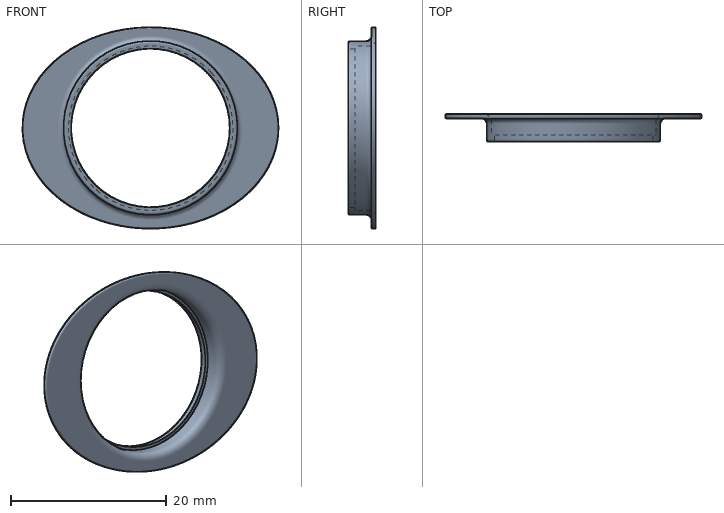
import cadquery as cq

flange_width = 33.0
flange_height = 25.97
flange_thickness = 0.6
flange_edge_radius = 0.2

overall_depth = 3.6
collar_diameter = 22.4
collar_root_radius = 0.65
collar_rim_radius = 0.3

lip_diameter = 20.4
bore_diameter = 21.2
lip_depth = 0.9
bore_mouth_radius = 1.0


def make_flange():
    """Elliptical plate with its front and back edges rounded."""
    plate = (
        cq.Workplane("XZ")
        .ellipse(flange_width / 2, flange_height / 2)
        .extrude(flange_thickness)
    )
    return plate.faces("<Y or >Y").edges().fillet(flange_edge_radius)


def make_collar():
    """Solid round collar with a rounded front rim."""
    collar = cq.Workplane("XZ").circle(collar_diameter / 2).extrude(overall_depth)
    return collar.faces("<Y").edges().fillet(collar_rim_radius)


def make_root_fillet():
    """Concave ring blending the collar into the flange's front face."""
    collar_radius = collar_diameter / 2
    outer_radius = collar_radius + collar_root_radius
    root_y = -flange_thickness
    top_y = root_y - collar_root_radius
    section = (
        cq.Workplane("XY")
        .moveTo(collar_radius, root_y)
        .lineTo(outer_radius, root_y)
        .radiusArc((collar_radius, top_y), -collar_root_radius)
        .close()
    )
    return section.revolve(360, (0, 0, 0), (0, 1, 0))


def make_bore():
    """Stepped through hole."""
    lip_hole = cq.Workplane("XZ").circle(lip_diameter / 2).extrude(overall_depth)
    wide_hole = cq.Workplane("XZ").circle(bore_diameter / 2).extrude(overall_depth - lip_depth)
    return lip_hole.union(wide_hole)


body = make_flange().union(make_collar())
body = body.union(make_root_fillet())
body = body.cut(make_bore())

bore_mouth = body.faces(">Y").edges(cq.selectors.RadiusNthSelector(0))
result = bore_mouth.fillet(bore_mouth_radius)